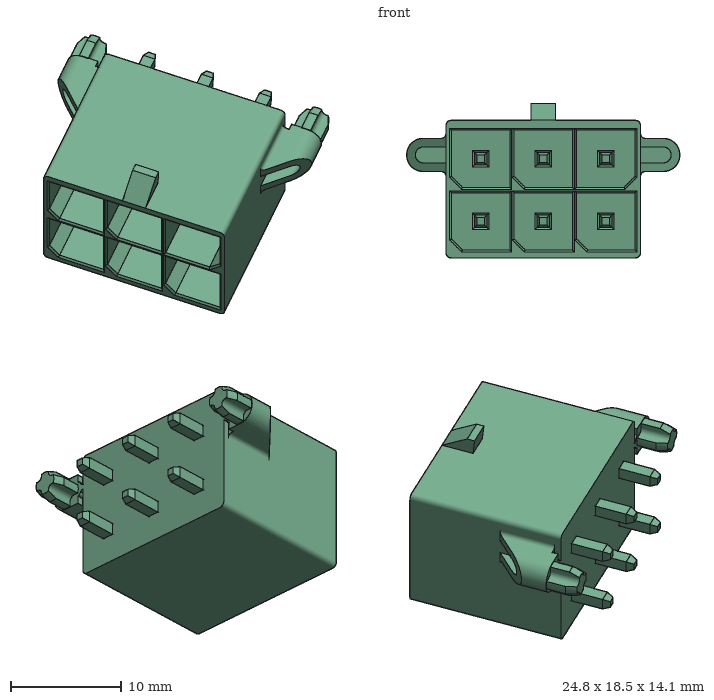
import cadquery as cq
import math


housing_width = 17.68
housing_depth = 14.8
housing_height = 12.5
housing_edge_radius = 0.5

columns = 3
rows = 2
pitch = 5.68
lower_row_z = 3.32

cavity_width = 5.28
cavity_height = 5.18
cavity_depth = 11.15
cavity_corner_cut = 1.0
mouth_bevel = 0.17

pin_side = 1.15
pin_tip_side = 0.67
pin_tip_length = 0.67
pin_front_y = 4.95
pin_rear_length = 3.7
pin_hole_bevel = 0.17

latch_width = 2.25
latch_height = 1.55
latch_base_length = 3.05
latch_top_front_y = 2.48
latch_top_rear_y = 3.2

overall_width = 24.8
ear_radius = 1.51
ear_center_z = 9.35
ear_tip_length = 2.4
ear_slope_angle = 45.0
ear_root_radius = 0.4
ear_pocket_radius = 0.72
ear_floor = 1.0

notch_width = 0.62
notch_length = 0.6
notch_round_radius = 0.32
notch_web_half = 0.75
notch_web_slope = 30.0

peg_radius = 1.46
peg_tip_radius = 1.12
peg_center_x = 10.85
peg_length = 2.85
peg_taper_length = 1.0
peg_arm_half = 0.435
peg_flute_radius = 0.5

housing_half = housing_width / 2
ear_center_x = overall_width / 2 - ear_radius
ear_reach = overall_width / 2 - housing_half
ear_length = ear_tip_length + ear_reach / math.tan(math.radians(ear_slope_angle))
contact_places = [
    ((column - (columns - 1) / 2) * pitch, lower_row_z + row * pitch)
    for row in range(rows)
    for column in range(columns)
]
keyed_place = contact_places[-1]


def section(y):
    """Sketch plane at depth y with local X = X and local Y = Z; it extrudes toward -Y."""
    return cq.Workplane("XZ", origin=(0, y, 0))


def square_frustum(x, z, front_y, front_side, rear_y, rear_side):
    """Square pyramid frustum about the line (x, z), tapering between two depths."""
    return (
        section(rear_y)
        .center(x, z)
        .rect(rear_side, rear_side)
        .workplane(offset=rear_y - front_y)
        .rect(front_side, front_side)
        .loft(ruled=True)
    )


def square_bar(x, z, front_y, rear_y, side):
    return section(rear_y).center(x, z).rect(side, side).extrude(rear_y - front_y)


def cavity_outline(plane, growth, cut_side):
    """Rectangle with one lower corner cut off; growth pushes every side outward."""
    half_width = cavity_width / 2 + growth
    half_height = cavity_height / 2 + growth
    cut = cavity_corner_cut + growth * (2 - math.sqrt(2))
    return plane.polyline([
        (cut_side * half_width, half_height),
        (cut_side * half_width, cut - half_height),
        (cut_side * (half_width - cut), -half_height),
        (-cut_side * half_width, -half_height),
        (-cut_side * half_width, half_height),
    ]).close()


def cavity(x, z, cut_side):
    """Space of one contact cavity with its bevelled mouth."""
    bore = cavity_outline(section(cavity_depth).center(x, z), 0, cut_side).extrude(cavity_depth)
    throat = cavity_outline(section(mouth_bevel).center(x, z), 0, cut_side)
    mouth = cavity_outline(throat.workplane(offset=mouth_bevel), mouth_bevel, cut_side).loft(ruled=True)
    return bore.union(mouth)


def pin_hole(x, z):
    """Square through hole for one pin, bevelled where it opens into the cavity floor."""
    hole = square_bar(x, z, cavity_depth, housing_depth, pin_side)
    bevel = square_frustum(
        x, z,
        cavity_depth, pin_side + 2 * pin_hole_bevel,
        cavity_depth + pin_hole_bevel, pin_side,
    )
    return hole.union(bevel)


def latch():
    return (
        cq.Workplane("YZ", origin=(-latch_width / 2, 0, housing_height))
        .polyline([
            (0, 0),
            (latch_top_front_y, latch_height),
            (latch_top_rear_y, latch_height),
            (latch_base_length, 0),
        ])
        .close()
        .extrude(latch_width)
    )


def relief_notch(direction):
    """Notch in the +X ear root, above (direction 1) or below (-1) the web along its middle."""
    outer_x = housing_half + notch_width
    step_x = outer_x - notch_round_radius
    step_height = notch_web_half - notch_round_radius
    arc_middle = notch_round_radius * math.sqrt(0.5)
    wall_height = step_height - (step_x - housing_half) * math.tan(math.radians(notch_web_slope))

    def place(x, height):
        return x, ear_center_z + direction * height

    top = ear_radius + ear_root_radius
    return (
        section(housing_depth)
        .moveTo(*place(housing_half, top))
        .lineTo(*place(outer_x, top))
        .lineTo(*place(outer_x, notch_web_half))
        .threePointArc(
            place(outer_x - arc_middle, step_height + arc_middle),
            place(step_x, step_height),
        )
        .lineTo(*place(housing_half, wall_height))
        .close()
        .extrude(notch_length)
    )


def right_ear():
    """Ear on the +X side: rounded tongue with root fillets, sloped front, pocket and relief notches."""
    root_x = housing_half + ear_root_radius
    root_half = ear_radius + ear_root_radius
    arc_middle = ear_root_radius * (1 - math.sqrt(0.5))
    tongue = (
        section(housing_depth)
        .moveTo(housing_half, ear_center_z + root_half)
        .threePointArc(
            (housing_half + arc_middle, ear_center_z + ear_radius + arc_middle),
            (root_x, ear_center_z + ear_radius),
        )
        .lineTo(ear_center_x, ear_center_z + ear_radius)
        .threePointArc(
            (ear_center_x + ear_radius, ear_center_z),
            (ear_center_x, ear_center_z - ear_radius),
        )
        .lineTo(root_x, ear_center_z - ear_radius)
        .threePointArc(
            (housing_half + arc_middle, ear_center_z - ear_radius - arc_middle),
            (housing_half, ear_center_z - root_half),
        )
        .close()
        .extrude(ear_length)
    )
    slope_cut = (
        cq.Workplane("XY", origin=(0, 0, ear_center_z))
        .polyline([
            (housing_half, housing_depth - ear_length),
            (overall_width / 2, housing_depth - ear_tip_length),
            (overall_width / 2, housing_depth - ear_length),
        ])
        .close()
        .extrude(root_half, both=True)
    )
    pocket = (
        section(housing_depth - ear_floor)
        .moveTo(housing_half, ear_center_z + ear_pocket_radius)
        .lineTo(ear_center_x, ear_center_z + ear_pocket_radius)
        .threePointArc(
            (ear_center_x + ear_pocket_radius, ear_center_z),
            (ear_center_x, ear_center_z - ear_pocket_radius),
        )
        .lineTo(housing_half, ear_center_z - ear_pocket_radius)
        .close()
        .extrude(ear_length)
    )
    ear = tongue.cut(slope_cut).cut(pocket)
    for direction in (1, -1):
        ear = ear.cut(relief_notch(direction))
    return ear


def make_housing():
    body = (
        section(housing_depth)
        .center(0, housing_height / 2)
        .rect(housing_width, housing_height)
        .extrude(housing_depth)
        .edges("|Y")
        .fillet(housing_edge_radius)
    )
    ear = right_ear()
    body = body.union(ear).union(ear.mirror("YZ")).union(latch())
    for x, z in contact_places:
        cut_side = 1 if (x, z) == keyed_place else -1
        body = body.cut(cavity(x, z, cut_side)).cut(pin_hole(x, z))
    return body.solids()


def make_pin(x, z):
    """Straight square pin, tapered at both ends."""
    rear_y = housing_depth + pin_rear_length
    shank_front_y = pin_front_y + pin_tip_length
    shank_rear_y = rear_y - pin_tip_length
    shank = square_bar(x, z, shank_front_y, shank_rear_y, pin_side)
    front_tip = square_frustum(x, z, pin_front_y, pin_tip_side, shank_front_y, pin_side)
    rear_tip = square_frustum(x, z, shank_rear_y, pin_side, rear_y, pin_tip_side)
    return shank.union(front_tip).union(rear_tip).solids()


def make_peg(x):
    """Round peg standing on the rear of an ear, fluted to a cross section and tapered at its end."""
    peg = (
        cq.Workplane("XY")
        .polyline([
            (0, 0),
            (peg_radius, 0),
            (peg_radius, peg_length - peg_taper_length),
            (peg_tip_radius, peg_length),
            (0, peg_length),
        ])
        .close()
        .revolve(360, (0, 0, 0), (0, 1, 0))
    )
    flute_middle = peg_arm_half + peg_radius / 2
    flute = (
        cq.Workplane("XZ")
        .center(flute_middle, flute_middle)
        .rect(peg_radius, peg_radius)
        .extrude(-peg_length)
        .edges("|Y and <X and <Z")
        .fillet(peg_flute_radius)
    )
    for quarter in range(4):
        peg = peg.cut(flute.rotate((0, 0, 0), (0, 1, 0), 90 * quarter))
    return peg.translate((x, housing_depth, ear_center_z)).solids()


housing = make_housing()
pins = [make_pin(x, z) for x, z in contact_places]
pegs = [make_peg(side * peg_center_x) for side in (-1, 1)]

result = cq.Compound.makeCompound([
    housing.val(),
    *[pin.val() for pin in pins],
    *[peg.val() for peg in pegs],
])